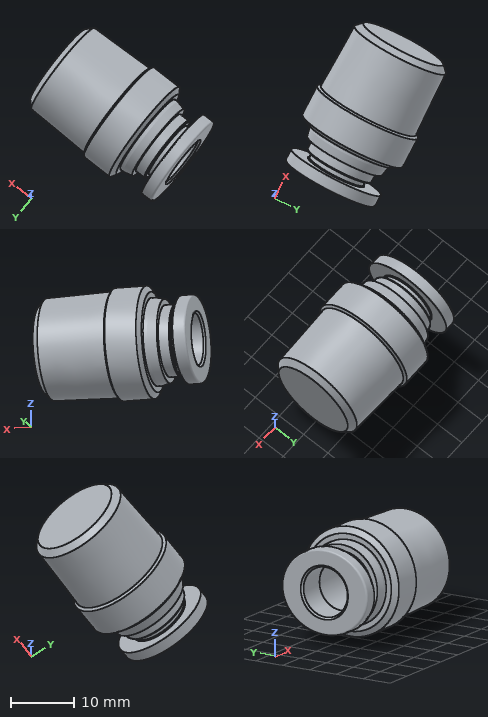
import cadquery as cq

flange_end = 2.1
collar_start = 3.15
ring_start = 5.05
ring_taper_end = 6.5
hub_start = 7.18
hub_end = 13.23
overall_length = 25.2
socket_floor = 17.65

flange_half_width = 8.0
flange_half_height = 7.0
flange_edge_radius = 0.33
groove_radius = 9.7 / 2
groove_root_chamfer = 0.15
collar_radius = 11.45 / 2
collar_chamfer = 0.18
bore_radius = 8.2 / 2
bore_chamfer = 0.33

socket_radius = 5.05
ring_radius = 14.0 / 2
ring_taper_drop = 0.3
hub_radius = 18.0 / 2
hub_front_chamfer_length = 0.63
hub_front_chamfer_depth = 1.03
hub_rear_chamfer_length = 0.3
shank_start_radius = 8.5
shank_end_radius = 8.16
shank_chamfer = 1.03


def revolve_about_x(points):
    """Turn a closed (x, radius) outline about the X axis."""
    return cq.Workplane("XY").polyline(points).close().revolve(360, (0, 0, 0), (1, 0, 0))


def make_sleeve():
    """Hollow release sleeve with an oval push flange; its inner end rests on the ring face."""
    flange = (
        cq.Workplane("YZ")
        .ellipse(flange_half_width, flange_half_height)
        .extrude(flange_end)
        .faces("<X").edges().fillet(flange_edge_radius)
    )
    stem = revolve_about_x([
        (0, 0),
        (0, groove_radius),
        (flange_end, groove_radius),
        (flange_end, groove_radius + groove_root_chamfer),
        (flange_end + groove_root_chamfer, groove_radius),
        (collar_start, groove_radius),
        (collar_start, collar_radius - collar_chamfer),
        (collar_start + collar_chamfer, collar_radius),
        (ring_start, collar_radius),
        (ring_start, 0),
    ])
    bore = revolve_about_x([
        (0, 0),
        (0, bore_radius + bore_chamfer),
        (bore_chamfer, bore_radius),
        (ring_start, bore_radius),
        (ring_start, 0),
    ])
    return flange.union(stem).cut(bore)


def make_body():
    """Fitting body: tapered entry ring, round hub and conical shank, with a blind socket behind the sleeve."""
    return revolve_about_x([
        (ring_start, socket_radius),
        (ring_start, ring_radius - ring_taper_drop),
        (ring_taper_end, ring_radius),
        (hub_start, ring_radius),
        (hub_start, hub_radius - hub_front_chamfer_depth),
        (hub_start + hub_front_chamfer_length, hub_radius),
        (hub_end - hub_rear_chamfer_length, hub_radius),
        (hub_end, shank_start_radius),
        (overall_length - shank_chamfer, shank_end_radius),
        (overall_length, shank_end_radius - shank_chamfer),
        (overall_length, 0),
        (socket_floor, 0),
        (socket_floor, socket_radius),
    ])


sleeve = make_sleeve()
body = make_body()

result = cq.Compound.makeCompound([sleeve.val(), body.val()])